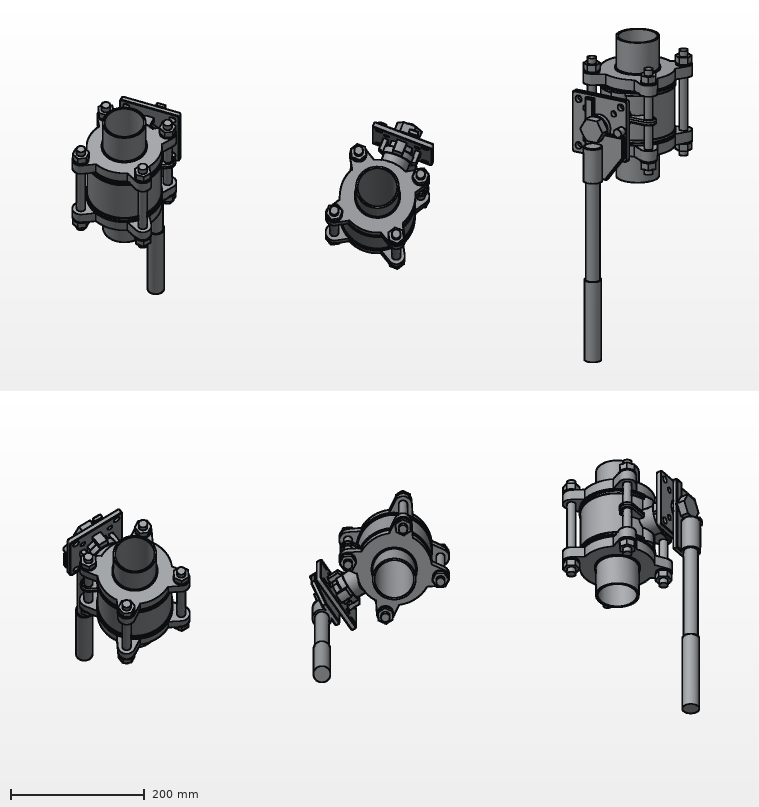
import cadquery as cq
import math


OVERALL_WIDTH = 126.0
OVERALL_DEPTH = 207.0
OVERALL_HEIGHT = 474.5

PIPE_HALF_LENGTH = 111.0
PIPE_RADIUS = 32.5
BORE_RADIUS = 29.5
COLLAR_RADIUS = 34.0
COLLAR_HEIGHT = 1.5

FLANGE_INNER_Z = 43.0
FLANGE_OUTER_Z = 60.7
FLANGE_RADIUS = 56.5
STUD_OFFSET = 50.0
LUG_RADIUS = OVERALL_WIDTH / 2 - STUD_OFFSET
LUG_FOOT_ANGLE = math.radians(26.6)

BODY_HALF_LENGTH = 39.5
BODY_RADIUS = 55.5
RIM_RADIUS = 57.0
RIM_HEIGHT = 4.5
SEAM_HEIGHT = 1.0
SEAM_RADIUS = 54.5
SPINE_RADIUS = 15.0
SPINE_OUTER_Y = 61.5

EAR_THICKNESS = 8.5
EAR_CHAMFER = 2.5
EAR_RADIUS = 12.0
EAR_FOOT_X = 43.5
EAR_FOOT_Y = 32.7

STUD_RADIUS = 6.5
STUD_HALF_LENGTH = 83.0
WASHER_RADIUS = 12.0
WASHER_HEIGHT = 2.5
NUT_CORNER_DIAMETER = 25.0
NUT_HEIGHT = 11.0

NECK_RADIUS = 21.0
NECK_START_Y = 42.5
NECK_END_Y = 79.3
PAD_RADIUS = 24.0
PAD_END_Y = 89.0
ARM_INNER_RADIUS = 23.3
ARM_OUTER_RADIUS = 30.5
ARM_WIDTH = 15.0
ARM_START_Y = 82.5

PLATE_WIDTH = 95.5
PLATE_HEIGHT = 97.0
PLATE_START_Y = 100.0
PLATE_END_Y = 108.5
PLATE_CORNER = 4.0
PLATE_CHAMFER = 1.0
OUTER_HOLE_PITCH = 74.0
OUTER_HOLE_DIAMETER = 10.5
INNER_HOLE_PITCH = 49.5
INNER_HOLE_DIAMETER = 8.5
PIN_X = -39.5
PIN_RADIUS = 6.5
PIN_END_Y = 121.5

STEM_RADIUS = 13.5
GLAND_NUT_CORNER_DIAMETER = 39.0
GLAND_NUT_START_Y = 92.0
HUB_RADIUS = 19.5
HUB_END_Y = 116.8
BOLT_CORNER_DIAMETER = 39.5
BOLT_END_Y = 132.0

LEVER_START_Y = 111.0
LEVER_END_Y = 119.0
LEVER_TOP_Z = 45.0
LEVER_BOTTOM_Z = -79.3
LEVER_RIGHT_X = 19.5
FINGER_LEFT_X = 5.5
WING_LEFT_X = -47.0
WING_BOTTOM_Z = -40.0
HEEL_LEFT_X = -27.5
HEEL_Z = -65.0
HEEL_RIGHT_X = -17.0
LEVER_CHAMFER = 1.5
HANDLE_X = -1.5
SOCKET_RADIUS = 14.2
HANDLE_Y = OVERALL_DEPTH - OVERALL_WIDTH / 2 - SOCKET_RADIUS
SOCKET_TOP_Z = -24.0
SOCKET_CHAMFER = 1.5
ROD_RADIUS = 11.0
GRIP_RADIUS = 13.0
GRIP_TOP_Z = -236.5
HANDLE_BOTTOM_Z = PIPE_HALF_LENGTH - OVERALL_HEIGHT


def z_cylinder(radius, bottom, top, x=0, y=0):
    return cq.Workplane("XY", origin=(x, y, bottom)).circle(radius).extrude(top - bottom)


def at_y(start, x=0):
    """Workplane facing +Y; its local x runs along -X and its local y along +Z."""
    return cq.Workplane("XZ", origin=(x, start, 0)).transformed(rotate=(0, 180, 0))


def y_cylinder(radius, start, end, x=0):
    return at_y(start, x).circle(radius).extrude(end - start)


def tangent_point(foot, centre, radius, side):
    """Point where the line from foot touches the circle, on its left (+1) or right (-1) side."""
    dx = centre[0] - foot[0]
    dy = centre[1] - foot[1]
    distance = math.hypot(dx, dy)
    angle = math.atan2(dy, dx) + side * math.asin(radius / distance)
    reach = math.sqrt(distance**2 - radius**2)
    return foot[0] + reach * math.cos(angle), foot[1] + reach * math.sin(angle)


def lug(radius, right_foot, left_foot, thickness):
    """Lug round the stud at (+, +), with straight flanks from two feet tangent to its round end."""
    centre = (STUD_OFFSET, STUD_OFFSET)
    tip = STUD_OFFSET + radius / math.sqrt(2)
    return (
        cq.Workplane("XY")
        .moveTo(0, 0)
        .lineTo(*right_foot)
        .lineTo(*tangent_point(right_foot, centre, radius, -1))
        .threePointArc((tip, tip), tangent_point(left_foot, centre, radius, 1))
        .lineTo(*left_foot)
        .close()
        .extrude(thickness)
    )


def upper_flange():
    thickness = FLANGE_OUTER_Z - FLANGE_INNER_Z
    along = FLANGE_RADIUS * math.cos(LUG_FOOT_ANGLE)
    across = FLANGE_RADIUS * math.sin(LUG_FOOT_ANGLE)
    corner = lug(LUG_RADIUS, (along, across), (across, along), thickness)
    flange = cq.Workplane("XY").circle(FLANGE_RADIUS).extrude(thickness)
    for quarter in range(4):
        flange = flange.union(corner.rotate((0, 0, 0), (0, 0, 1), 90 * quarter))
    flange = flange.translate((0, 0, FLANGE_INNER_Z))
    spigot_bottom = BODY_HALF_LENGTH + SEAM_HEIGHT
    flange = flange.union(z_cylinder(RIM_RADIUS, spigot_bottom, FLANGE_INNER_Z))
    flange = flange.union(z_cylinder(COLLAR_RADIUS, FLANGE_OUTER_Z, FLANGE_OUTER_Z + COLLAR_HEIGHT))
    return flange.union(z_cylinder(PIPE_RADIUS, FLANGE_OUTER_Z, PIPE_HALF_LENGTH))


def centre_body():
    seam_z = BODY_HALF_LENGTH + SEAM_HEIGHT
    body = z_cylinder(BODY_RADIUS, -BODY_HALF_LENGTH, BODY_HALF_LENGTH)
    body = body.union(z_cylinder(SEAM_RADIUS, -seam_z, seam_z))
    rim = z_cylinder(RIM_RADIUS, BODY_HALF_LENGTH - RIM_HEIGHT, BODY_HALF_LENGTH)
    body = body.union(rim).union(rim.mirror("XY"))
    spine_y = SPINE_OUTER_Y - SPINE_RADIUS
    return body.union(z_cylinder(SPINE_RADIUS, -BODY_HALF_LENGTH, BODY_HALF_LENGTH, y=spine_y))


def ears():
    back_y = STUD_OFFSET + EAR_RADIUS
    ear = lug(EAR_RADIUS, (EAR_FOOT_X, EAR_FOOT_Y), (0, back_y), EAR_THICKNESS)
    ear = ear.translate((0, 0, -EAR_THICKNESS / 2))
    pair = ear.union(ear.mirror("YZ")).clean()
    return pair.faces("<Z or >Z").chamfer(EAR_CHAMFER)


def stud_assembly():
    """Stud at (+, +) with a washer and nut at each end; nut corners point along Y."""
    washer_top = FLANGE_OUTER_Z + WASHER_HEIGHT
    washer = z_cylinder(WASHER_RADIUS, FLANGE_OUTER_Z, washer_top)
    nut = (
        cq.Workplane("XY", origin=(0, 0, washer_top))
        .polygon(6, NUT_CORNER_DIAMETER)
        .extrude(NUT_HEIGHT)
        .rotate((0, 0, 0), (0, 0, 1), 90)
    )
    fastener = washer.union(nut)
    stud = z_cylinder(STUD_RADIUS, -STUD_HALF_LENGTH, STUD_HALF_LENGTH)
    stud = stud.union(fastener).union(fastener.mirror("XY"))
    return stud.translate((STUD_OFFSET, STUD_OFFSET, 0))


def neck_and_mount():
    neck = y_cylinder(NECK_RADIUS, NECK_START_Y, NECK_END_Y)
    pad = y_cylinder(PAD_RADIUS, NECK_END_Y, PAD_END_Y)
    ring = (
        cq.Workplane("XY")
        .moveTo(ARM_INNER_RADIUS, NECK_END_Y)
        .lineTo(PAD_RADIUS, NECK_END_Y)
        .lineTo(ARM_OUTER_RADIUS, ARM_START_Y)
        .lineTo(ARM_OUTER_RADIUS, PLATE_START_Y)
        .lineTo(ARM_INNER_RADIUS, PLATE_START_Y)
        .close()
        .revolve(360, (0, 0, 0), (0, 1, 0))
    )
    span = 2 * ARM_OUTER_RADIUS
    height = PLATE_START_Y - NECK_END_Y
    cross = at_y(NECK_END_Y).rect(span, ARM_WIDTH).extrude(height)
    cross = cross.union(at_y(NECK_END_Y).rect(ARM_WIDTH, span).extrude(height))
    return neck.union(pad).union(ring.intersect(cross))


def locking_plate():
    plate = at_y(PLATE_START_Y).rect(PLATE_WIDTH, PLATE_HEIGHT).extrude(PLATE_END_Y - PLATE_START_Y)
    plate = plate.edges("|Y").fillet(PLATE_CORNER).faces("<Y or >Y").chamfer(PLATE_CHAMFER)
    holes = ((OUTER_HOLE_PITCH, OUTER_HOLE_DIAMETER), (INNER_HOLE_PITCH, INNER_HOLE_DIAMETER))
    for pitch, diameter in holes:
        drill = at_y(PLATE_START_Y).rarray(pitch, pitch, 2, 2).circle(diameter / 2)
        plate = plate.cut(drill.extrude(PLATE_END_Y - PLATE_START_Y))
    return plate.union(y_cylinder(PIN_RADIUS, PLATE_START_Y, PIN_END_Y, x=PIN_X))


def stem_hardware():
    stem = y_cylinder(STEM_RADIUS, NECK_END_Y, HUB_END_Y)
    gland_nut = (
        at_y(GLAND_NUT_START_Y)
        .polygon(6, GLAND_NUT_CORNER_DIAMETER)
        .extrude(PLATE_START_Y - GLAND_NUT_START_Y)
        .rotate((0, 0, 0), (0, 1, 0), 90)
    )
    hub = y_cylinder(HUB_RADIUS, PLATE_END_Y, HUB_END_Y)
    bolt = at_y(HUB_END_Y).polygon(6, BOLT_CORNER_DIAMETER).extrude(BOLT_END_Y - HUB_END_Y)
    return stem.union(gland_nut).union(hub).union(bolt)


def lever():
    """Flat lever with a stop finger at the top and a wing on the left that meets the stop pin."""
    outline = [
        (FINGER_LEFT_X, LEVER_TOP_Z),
        (LEVER_RIGHT_X, LEVER_TOP_Z),
        (LEVER_RIGHT_X, LEVER_BOTTOM_Z),
        (HEEL_RIGHT_X, LEVER_BOTTOM_Z),
        (HEEL_LEFT_X, HEEL_Z),
        (WING_LEFT_X, WING_BOTTOM_Z),
        (WING_LEFT_X, -PIN_RADIUS),
        (FINGER_LEFT_X, -PIN_RADIUS),
    ]
    thickness = LEVER_END_Y - LEVER_START_Y
    blade = cq.Workplane("XZ", origin=(0, LEVER_END_Y, 0)).polyline(outline).close().extrude(thickness)
    return blade.faces("<Y or >Y").chamfer(LEVER_CHAMFER)


def handle():
    socket = z_cylinder(SOCKET_RADIUS, LEVER_BOTTOM_Z, SOCKET_TOP_Z, HANDLE_X, HANDLE_Y)
    socket = socket.faces(">Z").edges().chamfer(SOCKET_CHAMFER)
    rod = z_cylinder(ROD_RADIUS, GRIP_TOP_Z, LEVER_BOTTOM_Z, HANDLE_X, HANDLE_Y)
    grip = z_cylinder(GRIP_RADIUS, HANDLE_BOTTOM_Z, GRIP_TOP_Z, HANDLE_X, HANDLE_Y)
    return socket.union(rod).union(grip)


flange = upper_flange()
valve = centre_body().union(flange).union(flange.mirror("XY")).union(ears())

stud = stud_assembly()
for quarter in range(4):
    valve = valve.union(stud.rotate((0, 0, 0), (0, 0, 1), 90 * quarter))

valve = valve.union(neck_and_mount()).cut(z_cylinder(BORE_RADIUS, -PIPE_HALF_LENGTH, PIPE_HALF_LENGTH))

result = valve.union(locking_plate()).union(stem_hardware()).union(lever()).union(handle())